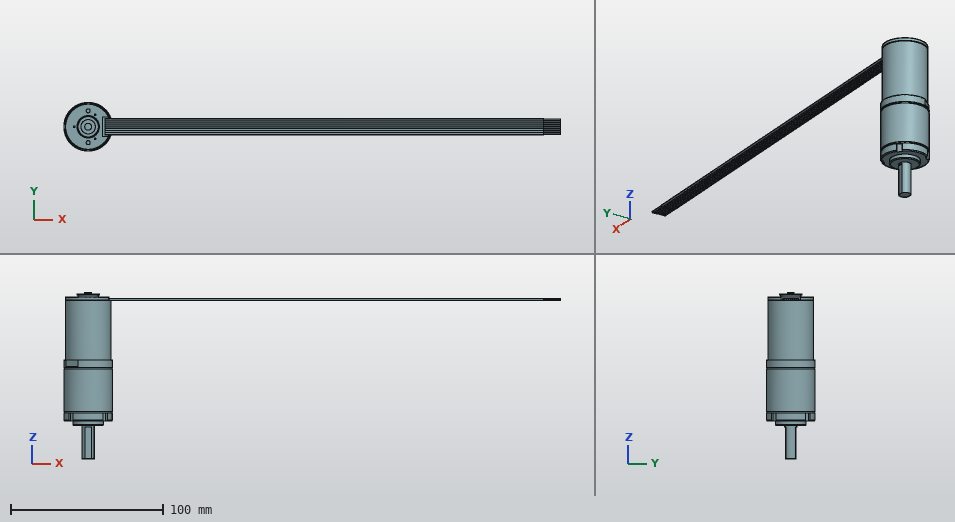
import cadquery as cq

OVERALL_LENGTH = 326.5

gear_dia = 32.0
gear_length = 40.2
gear_edge_chamfer = 0.5
groove_width = 1.0
groove_depth = 0.3
lower_groove_z = 5.5
upper_groove_z = 34.3
boss_dia = 20.2
boss_height = 3.0
boss_chamfer = 0.5
shaft_dia = 8.2
shaft_length = 24.8
shaft_across_flats = 7.0
flat_length = 21.0
slot_width = 4.0
slot_depth = 1.5
slot_height = lower_groove_z
slot_angles = (45, 135, 225, 315)
relief_height = 4.2
relief_angle = 225

motor_dia = 30.0
motor_length = 41.5
cap_height = 2.0
seam_width = 0.3
seam_depth = 0.15
hub_dia = 13.5
hub_height = 1.3
hub_flange_dia = 14.7
hub_flange_height = 0.5
hub_recess_dia = 9.5
hub_recess_depth = 0.5
pin_dia = 4.5
motor_top_height = 3.0
screw_hole_dia = 2.5
screw_hole_offset = 10.5
small_hole_dia = 1.0
small_hole_circle_radius = 9.0
small_hole_count = 3
small_hole_first_angle = 60
hole_depth = 2.0

wire_count = 8
wire_dia = 1.45
wire_pitch = 1.3
conductor_dia = 1.18
stripped_length = 11.0
cable_start_x = 11.0
wire_axis_above_floor = 0.3
notch_start_x = 9.5
notch_width = 12.7

gear_radius = gear_dia / 2
motor_radius = motor_dia / 2
motor_top_z = gear_length + motor_length
cap_bottom_z = motor_top_z - cap_height
cable_end_x = OVERALL_LENGTH - gear_radius
wire_axis_z = cap_bottom_z + wire_axis_above_floor


def cylinder(diameter, height, base_z):
    """Round bar on the Z axis, standing on base_z."""
    return cq.Workplane("XY").workplane(offset=base_z).circle(diameter / 2).extrude(height)


def ring_groove(diameter, width, depth, base_z):
    """Ring to cut from the outside of a round body."""
    core = cylinder(diameter - 2 * depth, width, base_z)
    return cylinder(diameter, width, base_z).cut(core)


def output_shaft():
    """Shaft with two opposite flats that face -Y and +Y."""
    shaft = cylinder(shaft_dia, shaft_length, -shaft_length)
    flatted_zone = cq.Workplane("XY").box(shaft_dia, shaft_dia, flat_length, centered=(True, True, False))
    core = cq.Workplane("XY").box(shaft_dia, shaft_across_flats, flat_length, centered=(True, True, False))
    return shaft.cut(flatted_zone.cut(core).translate((0, 0, -shaft_length)))


def side_slot(angle):
    """Slot in the gearhead's side, open at the mounting face."""
    slot = cq.Workplane("XY").box(2 * slot_depth, slot_width, slot_height, centered=(True, True, False))
    return slot.translate((gear_radius, 0, 0)).rotate((0, 0, 0), (0, 0, 1), angle)


def relief_flat():
    """Flat on the rim next to the motor, on the -X -Y diagonal and level with the motor's side."""
    relief = cq.Workplane("XY").box(gear_radius, gear_dia, relief_height, centered=(False, True, False))
    relief = relief.translate((motor_radius, 0, gear_length - relief_height))
    return relief.rotate((0, 0, 0), (0, 0, 1), relief_angle)


def make_gearhead():
    body = cylinder(gear_dia, gear_length, 0).faces("<Z").chamfer(gear_edge_chamfer)
    boss = cylinder(boss_dia, boss_height, -boss_height).faces("<Z").chamfer(boss_chamfer)
    body = body.union(boss).union(output_shaft())
    for groove_z in (lower_groove_z, upper_groove_z):
        body = body.cut(ring_groove(gear_dia, groove_width, groove_depth, groove_z))
    for angle in slot_angles:
        body = body.cut(side_slot(angle))
    return body.cut(relief_flat())


def rear_hub():
    """Flanged hub on the motor's end, with a ring recess around a raised pin."""
    flange_z = motor_top_z + hub_height
    flange_top_z = flange_z + hub_flange_height
    hub = cylinder(hub_dia, hub_height, motor_top_z)
    hub = hub.union(cylinder(hub_flange_dia, hub_flange_height, flange_z))
    hub = hub.cut(cylinder(hub_recess_dia, hub_recess_depth, flange_top_z - hub_recess_depth))
    return hub.union(cylinder(pin_dia, motor_top_height, motor_top_z))


def end_holes():
    """Two screw holes and three small holes to cut into the motor's end face."""
    face = cq.Workplane("XY").workplane(offset=motor_top_z)
    screw_points = [(0, screw_hole_offset), (0, -screw_hole_offset)]
    holes = face.pushPoints(screw_points).circle(screw_hole_dia / 2).extrude(-hole_depth)
    small_points = face.polarArray(small_hole_circle_radius, small_hole_first_angle, 360, small_hole_count)
    return holes.union(small_points.circle(small_hole_dia / 2).extrude(-hole_depth))


def cable_notch():
    notch = cq.Workplane("XY").box(motor_radius, notch_width, cap_height, centered=(False, True, False))
    return notch.translate((notch_start_x, 0, cap_bottom_z))


def wire(y):
    """Insulated wire along +X with a thinner stripped end."""
    insulated_length = cable_end_x - stripped_length - cable_start_x
    start = cq.Workplane("YZ", origin=(cable_start_x, y, wire_axis_z))
    conductor_length = cable_end_x - cable_start_x
    insulation = start.circle(wire_dia / 2).extrude(insulated_length)
    return insulation.union(start.circle(conductor_dia / 2).extrude(conductor_length))


def make_motor():
    """Motor with its ribbon cable, whose neighbouring wires are joined side by side."""
    body = cylinder(motor_dia, motor_length, gear_length)
    body = body.cut(ring_groove(motor_dia, seam_width, seam_depth, cap_bottom_z - seam_width))
    body = body.union(rear_hub()).cut(end_holes()).cut(cable_notch())
    for index in range(wire_count):
        body = body.union(wire((index - (wire_count - 1) / 2) * wire_pitch))
    return body


gearhead = make_gearhead()
motor = make_motor()
result = cq.Compound.makeCompound([gearhead.val(), motor.val()])